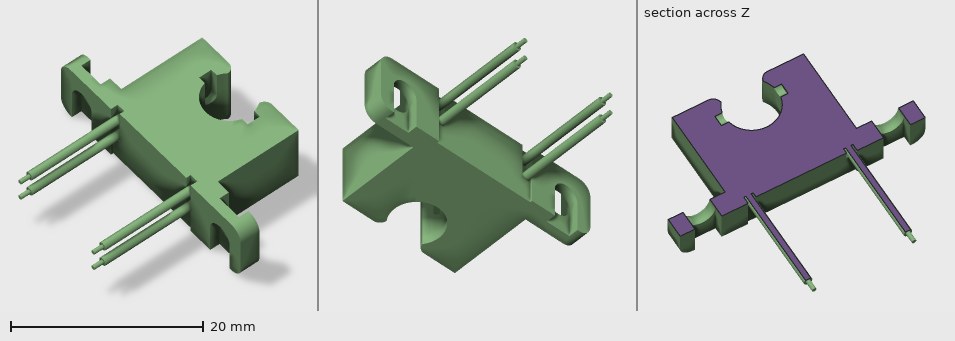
import cadquery as cq

height = 7.62
body_width = 15.88
body_back = 13.37
top = height / 2

flange_width = 29.59
flange_thickness = 2.5
flange_corner_radius = 1.59
hole_spacing = 22.75
hole_diameter = 3.2
relief_depth = flange_thickness / 2

recess_depth = 0.29

aperture_diameter = 6.35
aperture_inset = 2.82
aperture_y = body_back - aperture_inset
throat_width = 5.08
lip_radius = 1.02

window_span = 8.0
window_width = 1.63
window_axis_z = 0.5

wire_pitch = 12.04
wire_diameter = 1.02
wire_end = -11.4
core_diameter = 0.53
core_end = -12.67
wire_row_gap = 2.54
upper_wire_z = 2.16
lower_wire_z = upper_wire_z - wire_row_gap
groove_width = 1.07
groove_depth = 0.89
groove_bottom = lower_wire_z - wire_diameter / 2
recess_width = wire_pitch + groove_width


def block(x_limits, y_limits, z_limits):
    """Box between the given (low, high) limits on each axis."""
    sizes = [high - low for low, high in (x_limits, y_limits, z_limits)]
    corner = (x_limits[0], y_limits[0], z_limits[0])
    return cq.Workplane("XY").box(*sizes, centered=False).translate(corner)


def rod_along_y(x, z, diameter, start, end):
    """Round rod along Y, running between two Y positions."""
    profile = cq.Workplane("XZ", origin=(x, start, z)).circle(diameter / 2)
    return profile.extrude(start - end)


def make_body():
    half_width = body_width / 2
    body = block((-half_width, half_width), (0, body_back), (-top, top))
    half_flange = flange_width / 2
    flange = block((-half_flange, half_flange), (0, flange_thickness), (-top, top))
    return body.union(flange.edges("|Y").fillet(flange_corner_radius))


def make_aperture():
    bore = cq.Workplane("XY", origin=(0, aperture_y, -top)).circle(aperture_diameter / 2).extrude(height)
    half_throat = throat_width / 2
    lip_edge = half_throat + lip_radius
    lip_start = body_back - lip_radius
    throat = (
        cq.Workplane("XY", origin=(0, 0, -top))
        .moveTo(-half_throat, aperture_y)
        .lineTo(-half_throat, lip_start)
        .radiusArc((-lip_edge, body_back), -lip_radius)
        .lineTo(lip_edge, body_back)
        .radiusArc((half_throat, lip_start), -lip_radius)
        .lineTo(half_throat, aperture_y)
        .close()
        .extrude(height)
    )
    return bore.union(throat)


def make_windows():
    """Slots facing each other across the bore, open at the top and round at the bottom."""
    half_span = window_span / 2
    half_width = window_width / 2
    y_limits = (aperture_y - half_width, aperture_y + half_width)
    slot = block((-half_span, half_span), y_limits, (window_axis_z, top))
    round_bottom = (
        cq.Workplane("YZ", origin=(-half_span, aperture_y, window_axis_z))
        .circle(half_width)
        .extrude(window_span)
    )
    return slot.union(round_bottom)


def make_mounting_cut(x):
    """Through hole with a relief to the bottom edge in front and to the top edge behind."""
    half_width = hole_diameter / 2
    x_limits = (x - half_width, x + half_width)
    hole = rod_along_y(x, 0, hole_diameter, 0, flange_thickness)
    front_relief = block(x_limits, (0, relief_depth), (-top, 0))
    back_relief = block(x_limits, (flange_thickness - relief_depth, flange_thickness), (0, top))
    return hole.union(front_relief).union(back_relief)


def make_groove(x):
    half_width = groove_width / 2
    return block((x - half_width, x + half_width), (0, groove_depth), (groove_bottom, top))


def make_wire(x, z):
    insulation = rod_along_y(x, z, wire_diameter, groove_depth, wire_end)
    core = rod_along_y(x, z, core_diameter, groove_depth, core_end)
    return insulation.union(core)


result = make_body().cut(make_aperture()).cut(make_windows())
result = result.cut(block((-recess_width / 2, recess_width / 2), (0, recess_depth), (-top, top)))

for side in (-1, 1):
    result = result.cut(make_mounting_cut(side * hole_spacing / 2))
    wire_x = side * wire_pitch / 2
    result = result.cut(make_groove(wire_x))
    for wire_z in (lower_wire_z, upper_wire_z):
        result = result.union(make_wire(wire_x, wire_z))